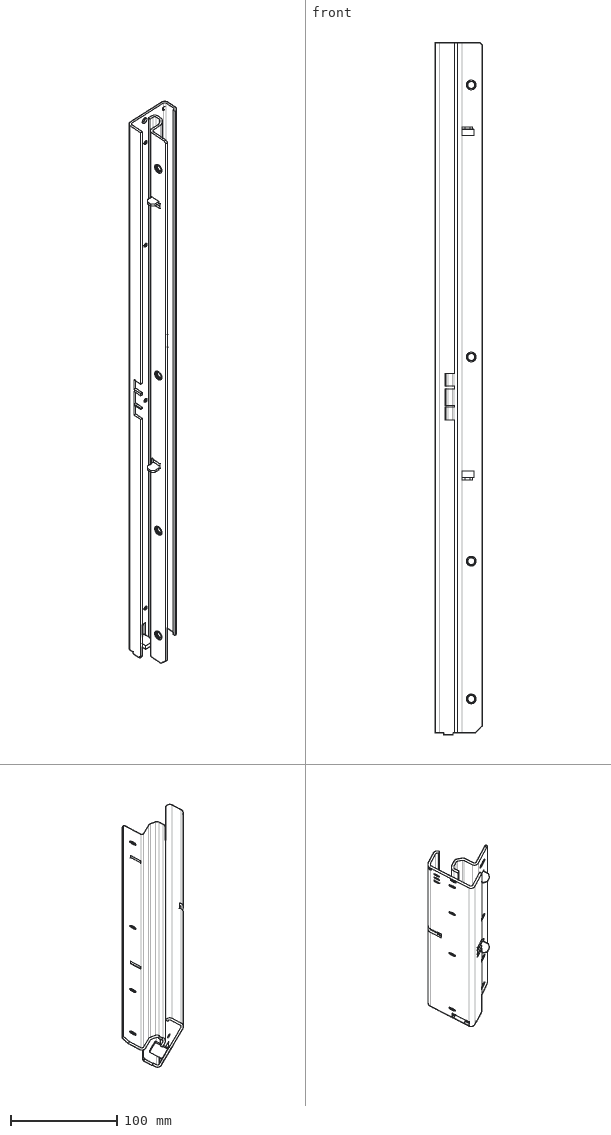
import cadquery as cq
import math


LENGTH = 650.0
WIDTH = 44.0
DEPTH = 50.0
SHEET = 2.3
BEND_RADIUS = 2.0
END_TAB = 2.0
RAIL_BOTTOM = END_TAB
RAIL_LENGTH = LENGTH - END_TAB

CHANNEL_FRONT = 0.5
FLANGE_REACH = 18.0
LIP_DEPTH = 4.5

WEB_HOLE_RADIUS = 2.9
REAR_HOLE_Y = 39.0
REAR_HOLES_BELOW_TOP = (19.0, 34.5, 50.0)
TOP_HOLE_BELOW_TOP = 7.0
CORNER_HOLE_Y = 47.0
CORNER_HOLE_RADIUS = 2.0
WEB_HOLE_Y = 21.5

STEPPED_HOLE_Y = 23.0
STEPPED_HOLE_RADIUS = 3.0
STEPPED_HOLE_INNER_RADIUS = 2.0
STEPPED_HOLE_DEPTH = 1.0
STEPPED_HOLES_BELOW_TOP = (35.0, 162.0, 353.5, 610.5)

CORNER_WINDOW_Z = 349.0
CORNER_WINDOW_HEIGHT = 15.5
CORNER_WINDOW_DEPTH = 15.5
CORNER_TAB_GAP = 2.0
CORNER_TAB_HEIGHT = 11.0
CORNER_TAB_REACH = 6.0
CORNER_TAB_ROOT = 4.5
CORNER_TAB_WIDTH = 8.5

STOP_WINDOW_Z = 4.5
STOP_WINDOW_HEIGHT = 17.0
STOP_WINDOW_Y = 4.5
STOP_WINDOW_WIDTH = 18.0
STOP_REACH = 15.5
STOP_Y = 10.0
STOP_WIDTH = 11.0
STOP_HEIGHT = 4.5
STOP_BEND = 4.0

NOTCH_X = 9.0
NOTCHES = ((327.5, 12.0), (309.5, 15.5), (296.0, 12.5))

HAT_LEFT = 8.0
HAT_LIP_END = 21.0
HAT_TOP = 29.0
HAT_SLOPE_START = 18.0
HAT_RIGHT = 23.5
HAT_SLOPE_END = 23.0
WING_BACK = 10.5
TOP_CHAMFER = 2.0
BOTTOM_CHAMFER = 6.5

MOUNT_HOLE_X = 34.0
MOUNT_HOLE_RADIUS = 3.0
MOUNT_SINK_RADIUS = 4.5
MOUNT_SINK_DEPTH = 1.0
MOUNT_HOLES_BELOW_TOP = (39.5, 295.0, 487.0, 616.0)

SLOT_X = 25.5
SLOT_WIDTH = 11.0
HOOK_WIDTH = 10.0
SLOT_HEIGHT = 6.0
SLOT_UPPER_Z = 563.0
SLOT_LOWER_Z = 242.0
HOOK_CHAMFER = 2.5

CHANNEL_TAB_X = 8.0
CHANNEL_TAB_WIDTH = 9.0
HAT_TAB_X = 12.5
HAT_TAB_WIDTH = 3.0


def block(x, y, z, dx, dy, dz):
    """Box from its lowest corner and its three sizes."""
    return cq.Workplane("XY").box(dx, dy, dz, centered=False).translate((x, y, z))


def bent_sheet(points):
    """Sheet of constant thickness whose left face follows the open path of points."""
    directions = []
    for (x0, y0), (x1, y1) in zip(points, points[1:]):
        run = math.hypot(x1 - x0, y1 - y0)
        directions.append(((x1 - x0) / run, (y1 - y0) / run))
    offset_points = []
    for i, (x, y) in enumerate(points):
        ax, ay = directions[max(i - 1, 0)]
        bx, by = directions[min(i, len(directions) - 1)]
        stretch = SHEET / (1 + ax * bx + ay * by)
        offset_points.append((x + (ay + by) * stretch, y - (ax + bx) * stretch))

    sheet = cq.Workplane("XY").workplane(offset=RAIL_BOTTOM)
    sheet = sheet.polyline(points + offset_points[::-1]).close().extrude(RAIL_LENGTH)

    middle = RAIL_BOTTOM + RAIL_LENGTH / 2
    for i in range(1, len(points) - 1):
        ax, ay = directions[i - 1]
        bx, by = directions[i]
        turns_right = ax * by - ay * bx < 0
        if turns_right:
            inner, outer = offset_points[i], points[i]
        else:
            inner, outer = points[i], offset_points[i]
        for corner, radius in ((inner, BEND_RADIUS), (outer, BEND_RADIUS + SHEET)):
            edge = cq.selectors.NearestToPointSelector((*corner, middle))
            sheet = sheet.edges("|Z").edges(edge).fillet(radius)
    return sheet


def web_cylinder(y, z, radius, depth):
    """Cutter along +X that starts at the outer face of the channel web."""
    return cq.Workplane("YZ").center(y, z).circle(radius).extrude(depth)


def make_channel():
    channel = bent_sheet([
        (FLANGE_REACH, CHANNEL_FRONT),
        (0, CHANNEL_FRONT),
        (0, DEPTH),
        (FLANGE_REACH, DEPTH),
        (FLANGE_REACH, DEPTH - LIP_DEPTH),
    ])

    for below_top in REAR_HOLES_BELOW_TOP:
        channel = channel.cut(web_cylinder(REAR_HOLE_Y, LENGTH - below_top, WEB_HOLE_RADIUS, SHEET))
    top_hole_z = LENGTH - TOP_HOLE_BELOW_TOP
    channel = channel.cut(web_cylinder(WEB_HOLE_Y, top_hole_z, WEB_HOLE_RADIUS, SHEET))
    channel = channel.cut(web_cylinder(CORNER_HOLE_Y, top_hole_z, CORNER_HOLE_RADIUS, SHEET))

    for below_top in STEPPED_HOLES_BELOW_TOP:
        z = LENGTH - below_top
        channel = channel.cut(web_cylinder(STEPPED_HOLE_Y, z, STEPPED_HOLE_RADIUS, STEPPED_HOLE_DEPTH))
        channel = channel.cut(web_cylinder(STEPPED_HOLE_Y, z, STEPPED_HOLE_INNER_RADIUS, SHEET))

    window_y = DEPTH - CORNER_WINDOW_DEPTH
    channel = channel.cut(block(
        0, window_y, CORNER_WINDOW_Z, CORNER_TAB_REACH, CORNER_WINDOW_DEPTH, CORNER_WINDOW_HEIGHT,
    ))
    tab_z = CORNER_WINDOW_Z + CORNER_TAB_GAP
    step_y = window_y + CORNER_TAB_ROOT - SHEET
    root = block(SHEET / 2, window_y, tab_z, SHEET, CORNER_TAB_ROOT, CORNER_TAB_HEIGHT)
    step = block(SHEET / 2, step_y, tab_z, CORNER_TAB_REACH - SHEET / 2, SHEET, CORNER_TAB_HEIGHT)
    plate = block(CORNER_TAB_REACH - SHEET, step_y, tab_z, SHEET, CORNER_TAB_WIDTH, CORNER_TAB_HEIGHT)
    channel = channel.union(root).union(step).union(plate)

    channel = channel.cut(block(
        0, STOP_WINDOW_Y, STOP_WINDOW_Z, SHEET, STOP_WINDOW_WIDTH, STOP_WINDOW_HEIGHT,
    ))
    stop = block(0, STOP_Y, STOP_WINDOW_Z, STOP_REACH, STOP_WIDTH, STOP_HEIGHT)
    channel = channel.union(stop.edges("<X and >Z").fillet(STOP_BEND))

    for z, height in NOTCHES:
        channel = channel.cut(block(NOTCH_X, CHANNEL_FRONT, z, FLANGE_REACH - NOTCH_X, SHEET, height))

    return channel.union(block(CHANNEL_TAB_X, CHANNEL_FRONT, 0, CHANNEL_TAB_WIDTH, SHEET, 2 * END_TAB))


def make_inner_rail():
    rail = bent_sheet([
        (HAT_LEFT, HAT_LIP_END),
        (HAT_LEFT, HAT_TOP),
        (HAT_SLOPE_START, HAT_TOP),
        (HAT_RIGHT, HAT_SLOPE_END),
        (HAT_RIGHT, WING_BACK),
        (WIDTH, WING_BACK),
    ])
    wing_front = WING_BACK - SHEET

    rail = rail.edges("|Y").edges(">X and >Z").chamfer(TOP_CHAMFER)
    rail = rail.edges("|Y").edges(">X and <Z").chamfer(BOTTOM_CHAMFER)

    for below_top in MOUNT_HOLES_BELOW_TOP:
        face = cq.Workplane("XZ", origin=(MOUNT_HOLE_X, wing_front, LENGTH - below_top))
        rail = rail.cut(face.circle(MOUNT_SINK_RADIUS).extrude(-MOUNT_SINK_DEPTH))
        rail = rail.cut(face.circle(MOUNT_HOLE_RADIUS).extrude(-SHEET))

    for slot_z, hook_z in (
        (SLOT_UPPER_Z, SLOT_UPPER_Z + SLOT_HEIGHT),
        (SLOT_LOWER_Z, SLOT_LOWER_Z - SHEET),
    ):
        rail = rail.cut(block(SLOT_X, wing_front, slot_z, SLOT_WIDTH, SHEET, SLOT_HEIGHT))
        hook = block(SLOT_X, 0, hook_z, HOOK_WIDTH, WING_BACK, SHEET)
        rail = rail.union(hook.edges("|Z and <Y").chamfer(HOOK_CHAMFER))

    return rail.union(block(HAT_TAB_X, HAT_TOP - SHEET, 0, HAT_TAB_WIDTH, SHEET, 2 * END_TAB))


channel = make_channel()
inner_rail = make_inner_rail()

result = cq.Compound.makeCompound([channel.val(), inner_rail.val()])